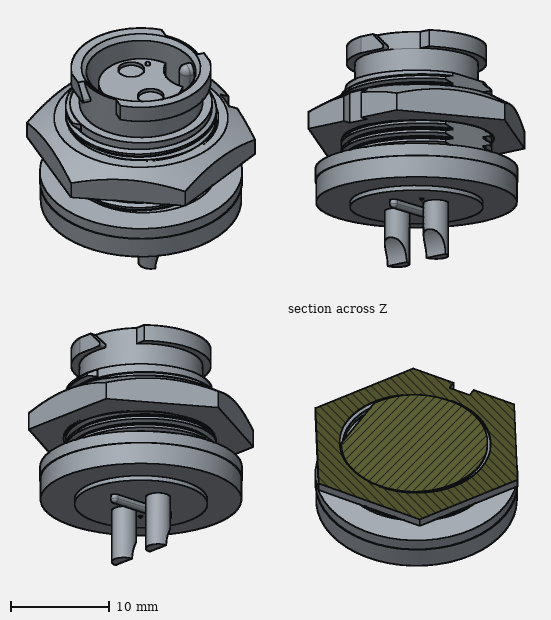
import cadquery as cq
import math


TOP_Z = 12.83
COLLAR_BOTTOM_Z = 11.1
SHOULDER_Z = 8.52
FLANGE_STEP_Z = -1.27
FLANGE_BOTTOM_Z = -3.52
BOSS_BOTTOM_Z = -4.0
PIN_BOTTOM_Z = -9.6
INSERT_TOP_Z = 10.95
CAVITY_FLOOR_Z = 6.26

COLLAR_R = 7.13
NECK_R = 6.29
BORE_R = 5.58
BORE_CHAMFER = 0.5
FLANGE_R = 10.32
FLANGE_LOWER_R = 10.25
BOSS_R = 6.78

THREAD_ROOT_R = 7.25
THREAD_CREST_R = 7.7
THREAD_SHARP_R = 7.93
NUT_GROOVE_R = 7.9
THREAD_FLANK_ANGLE = 31.0
THREAD_OVERLAP = 0.05
THREAD_START_Z = -0.45
THREAD_END_Z = 8.1
THREAD_TURNS = 9
THREAD_PITCH = (THREAD_END_Z - THREAD_START_Z) / THREAD_TURNS
THREAD_END_ANGLE = -80.0
RUNOUT_START_X = 0.33
RUNOUT_END_X = 1.4
RUNOUT_SLOPE = 0.54
FLAT_X = -6.83

COLLAR_FLAT_Y = 6.95
BAYONET_STOP_Y = 4.55
HOOK_TIP_R = 0.23

INSERT_R = 4.32
INSERT_SCALLOP_Y = 6.17
INSERT_SCALLOP_R = 3.38
PIN_X = 2.58
PIN_R = 1.27
SOCKET_R = 1.34
SOCKET_DEPTH = 0.4
CUP_CUT_HEIGHT = 2.55
KEY_R = 0.8
KEY_Y = 5.07
KEY_DOME_Z = 11.03
DOT_X = -2.82
DOT_Y = 1.92
DOT_R = 0.25

BAR_LENGTH = 8.02
BAR_WIDTH = 0.85
BAR_BOTTOM_Z = -4.8
BAR_FILLET = 0.38
CONE_Y = 2.28
CONE_R = 0.2
CONE_HEIGHT = 0.2

NUT_ACROSS_CORNERS = 23.45
NUT_BOTTOM_Z = 3.2
NUT_TOP_Z = 6.62
NUT_TOP_R = 8.87
NUT_CHAMFER_ANGLE = 30.0
NUT_BORE_R = 7.55
NUT_NOTCH_WIDTH = 2.3
NUT_NOTCH_Y = 9.27


def cylinder(radius, bottom, top, x=0.0, y=0.0):
    """Upright cylinder between two heights."""
    return cq.Workplane("XY", origin=(x, y, bottom)).circle(radius).extrude(top - bottom)


def make_helical_ridge(crest_r):
    """Right-handed helical ridge with the thread's flanks, running out to the given crest radius."""
    height = THREAD_END_Z - THREAD_START_Z
    inner_r = THREAD_ROOT_R - THREAD_OVERLAP

    def half_width(radius):
        return (THREAD_SHARP_R - radius) * math.tan(math.radians(THREAD_FLANK_ANGLE))

    outline = [
        (inner_r, -half_width(inner_r)),
        (crest_r, -half_width(crest_r)),
        (crest_r, half_width(crest_r)),
        (inner_r, half_width(inner_r)),
    ]
    path = cq.Wire.makeHelix(THREAD_PITCH, height, THREAD_ROOT_R)
    ridge = cq.Workplane("XZ").polyline(outline).close().sweep(cq.Workplane(obj=path), isFrenet=True)
    return ridge.rotate((0, 0, 0), (0, 0, 1), THREAD_END_ANGLE).translate((0, 0, THREAD_START_Z))


def make_thread():
    """External thread whose last stretch is thinned by a slanted flat."""
    runout_rise = (RUNOUT_END_X - RUNOUT_START_X) * RUNOUT_SLOPE
    runout = (
        cq.Workplane("XY", origin=(0, 0, THREAD_END_Z - THREAD_PITCH / 2))
        .polyline([
            (RUNOUT_START_X, -THREAD_CREST_R),
            (RUNOUT_END_X, -THREAD_CREST_R),
            (RUNOUT_END_X, -THREAD_CREST_R + runout_rise),
        ])
        .close()
        .extrude(THREAD_PITCH)
    )
    return make_helical_ridge(THREAD_CREST_R).cut(runout)


def make_threaded_section():
    """Threaded core with the flat on its -X side."""
    core = cylinder(THREAD_ROOT_R, FLANGE_STEP_Z, SHOULDER_Z).union(make_thread())
    kept_length = FLANGE_R - FLAT_X
    keep = (
        cq.Workplane("XY", origin=(FLAT_X + kept_length / 2, 0, FLANGE_STEP_Z))
        .rect(kept_length, 2 * FLANGE_R)
        .extrude(SHOULDER_Z - FLANGE_STEP_Z)
    )
    return core.intersect(keep)


def make_collar():
    """Collar ring with two opposite bayonet entries, each with a ramped hook."""
    height = TOP_Z - COLLAR_BOTTOM_Z
    collar = cylinder(COLLAR_R, COLLAR_BOTTOM_Z, TOP_Z)
    collar = collar.intersect(
        cq.Workplane("XY", origin=(0, 0, COLLAR_BOTTOM_Z))
        .rect(2 * COLLAR_R, 2 * COLLAR_FLAT_Y)
        .extrude(height)
    )
    tip_x = height - HOOK_TIP_R * (1 + math.sqrt(2))
    tip_z = COLLAR_BOTTOM_Z + HOOK_TIP_R

    def on_tip(degrees):
        angle = math.radians(degrees)
        return tip_x + HOOK_TIP_R * math.cos(angle), tip_z + HOOK_TIP_R * math.sin(angle)

    entry = (
        cq.Workplane("XZ", origin=(0, -BAYONET_STOP_Y, 0))
        .moveTo(0, TOP_Z)
        .lineTo(*on_tip(45))
        .threePointArc(on_tip(-22.5), on_tip(-90))
        .lineTo(COLLAR_R, COLLAR_BOTTOM_Z)
        .lineTo(COLLAR_R, TOP_Z)
        .close()
        .extrude(COLLAR_R - BAYONET_STOP_Y)
        .cut(cylinder(NECK_R, COLLAR_BOTTOM_Z, TOP_Z))
    )
    for turn in (0, 180):
        collar = collar.cut(entry.rotate((0, 0, 0), (0, 0, 1), turn))
    return collar


def make_cavity():
    """Blind round bore with a chamfered mouth."""
    bore = cylinder(BORE_R, CAVITY_FLOOR_Z, TOP_Z)
    mouth = (
        cq.Workplane("XY", origin=(0, 0, TOP_Z))
        .circle(BORE_R + BORE_CHAMFER)
        .extrude(-BORE_CHAMFER, taper=45)
    )
    return bore.union(mouth)


def make_insert():
    """Scalloped insert with two shallow contact recesses and a marker dot."""
    insert = cylinder(INSERT_R, CAVITY_FLOOR_Z, INSERT_TOP_Z)
    insert = insert.cut(cylinder(INSERT_SCALLOP_R, CAVITY_FLOOR_Z, INSERT_TOP_Z, y=INSERT_SCALLOP_Y))
    for x in (-PIN_X, PIN_X):
        insert = insert.cut(cylinder(SOCKET_R, INSERT_TOP_Z - SOCKET_DEPTH, INSERT_TOP_Z, x=x))
    dot = cq.Workplane("XY").sphere(DOT_R).translate((DOT_X, DOT_Y, INSERT_TOP_Z))
    return insert.union(dot)


def make_key():
    """Domed key standing against the bore wall."""
    wall_y = (BORE_R + NECK_R) / 2
    depth = wall_y - KEY_Y
    post = cylinder(KEY_R, CAVITY_FLOOR_Z, KEY_DOME_Z, y=KEY_Y)
    dome = cq.Workplane("XY").sphere(KEY_R).translate((0, KEY_Y, KEY_DOME_Z))
    web = (
        cq.Workplane("XY", origin=(0, KEY_Y + depth / 2, CAVITY_FLOOR_Z))
        .rect(2 * KEY_R, depth)
        .extrude(KEY_DOME_Z - CAVITY_FLOOR_Z)
    )
    ridge = cq.Workplane("XZ", origin=(0, KEY_Y, 0)).center(0, KEY_DOME_Z).circle(KEY_R).extrude(-depth)
    return post.union(dome).union(web).union(ridge)


def make_pin(x):
    """Solder pin, its +Y half scooped away at the lower end."""
    scoop_r = (PIN_R**2 + CUP_CUT_HEIGHT**2) / (2 * PIN_R)
    scoop = (
        cq.Workplane("YZ", origin=(x - 2 * PIN_R, 0, 0))
        .center(scoop_r, PIN_BOTTOM_Z)
        .circle(scoop_r)
        .extrude(4 * PIN_R)
    )
    return cylinder(PIN_R, PIN_BOTTOM_Z, BOSS_BOTTOM_Z, x=x).cut(scoop)


def make_underside_bar():
    """Round-ended bar along Y below the boss."""
    return (
        cq.Workplane("XY", origin=(0, 0, BOSS_BOTTOM_Z))
        .slot2D(BAR_LENGTH, BAR_WIDTH, 90)
        .extrude(BAR_BOTTOM_Z - BOSS_BOTTOM_Z)
        .faces("<Z")
        .edges()
        .fillet(BAR_FILLET)
    )


def make_underside_cone():
    """Small pointed mark below the boss, in line with the -X pin."""
    base = cq.Vector(-PIN_X, CONE_Y, BOSS_BOTTOM_Z)
    cone = cq.Solid.makeCone(CONE_R, 0, CONE_HEIGHT, base, cq.Vector(0, 0, -1))
    return cq.Workplane(obj=cone)


def make_connector():
    """Shell, insert, key and pins as one solid."""
    connector = (
        make_threaded_section()
        .union(cylinder(NECK_R, SHOULDER_Z, TOP_Z))
        .union(make_collar())
        .union(cylinder(FLANGE_R, FLANGE_STEP_Z, 0))
        .union(cylinder(FLANGE_LOWER_R, FLANGE_BOTTOM_Z, FLANGE_STEP_Z))
        .union(cylinder(BOSS_R, BOSS_BOTTOM_Z, FLANGE_BOTTOM_Z))
        .cut(make_cavity())
        .union(make_insert())
        .union(make_key())
        .union(make_underside_bar())
        .union(make_underside_cone())
    )
    for x in (-PIN_X, PIN_X):
        connector = connector.union(make_pin(x))
    return connector


def make_nut():
    """Hex nut, with a matching internal thread, chamfered on top and notched on its +Y side."""
    height = NUT_TOP_Z - NUT_BOTTOM_Z
    corner_r = NUT_ACROSS_CORNERS / 2
    chamfer_drop = (corner_r - NUT_TOP_R) * math.tan(math.radians(NUT_CHAMFER_ANGLE))
    nut = cq.Workplane("XY", origin=(0, 0, NUT_BOTTOM_Z)).polygon(6, NUT_ACROSS_CORNERS).extrude(height)
    nut = nut.cut(make_helical_ridge(NUT_GROOVE_R))
    chamfer_envelope = (
        cq.Workplane("XZ")
        .polyline([
            (0, NUT_BOTTOM_Z),
            (corner_r, NUT_BOTTOM_Z),
            (corner_r, NUT_TOP_Z - chamfer_drop),
            (NUT_TOP_R, NUT_TOP_Z),
            (0, NUT_TOP_Z),
        ])
        .close()
        .revolve(360, (0, 0, 0), (0, 1, 0))
    )
    notch_depth = corner_r - NUT_NOTCH_Y
    notch = (
        cq.Workplane("XY", origin=(0, NUT_NOTCH_Y + notch_depth / 2, NUT_BOTTOM_Z))
        .rect(NUT_NOTCH_WIDTH, notch_depth)
        .extrude(height)
    )
    bore = cylinder(NUT_BORE_R, NUT_BOTTOM_Z, NUT_TOP_Z)
    return nut.intersect(chamfer_envelope).cut(notch).cut(bore)


connector = make_connector()
nut = make_nut()
result = cq.Compound.makeCompound([connector.solids().val(), nut.solids().val()])